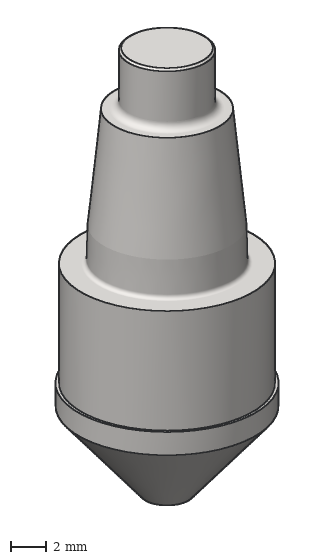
import cadquery as cq
import math

cone_top_z = 5.58
flange_top_z = 7.05
shoulder_z = 14.63
taper_bottom_z = 17.1
neck_top_z = 24.45
overall_height = 28.3

tip_flat_radius = 1.53
flange_radius = 12.7 / 2
barrel_radius = 12.3 / 2
neck_base_radius = 4.58
taper_base_radius = 4.53
neck_top_radius = 3.75
pin_radius = 5.5 / 2

shoulder_fillet = 0.28
pin_fillet = 0.5
pin_chamfer = 0.15

collar_bottom_z = shoulder_z + shoulder_fillet


def make_tip():
    """Conical point with a short cylindrical flange."""
    profile = (
        cq.Workplane("XZ")
        .polyline([
            (0, 0),
            (tip_flat_radius, 0),
            (flange_radius, cone_top_z),
            (flange_radius, flange_top_z),
            (0, flange_top_z),
        ])
        .close()
    )
    return profile.revolve(360, (0, 0), (0, 1))


def fillet_midpoint(wall_radius, floor_z, fillet_radius):
    """Middle of a concave quarter arc between a vertical wall and a flat floor."""
    offset = fillet_radius * (1 - math.sqrt(0.5))
    return wall_radius + offset, floor_z + offset


def make_body():
    """Barrel, tapered neck and end pin, revolved as one piece."""
    profile = (
        cq.Workplane("XZ")
        .moveTo(0, flange_top_z)
        .lineTo(barrel_radius, flange_top_z)
        .lineTo(barrel_radius, shoulder_z)
        .lineTo(neck_base_radius + shoulder_fillet, shoulder_z)
        .threePointArc(
            fillet_midpoint(neck_base_radius, shoulder_z, shoulder_fillet),
            (neck_base_radius, collar_bottom_z),
        )
        .lineTo(taper_base_radius, taper_bottom_z)
        .lineTo(neck_top_radius, neck_top_z)
        .lineTo(pin_radius + pin_fillet, neck_top_z)
        .threePointArc(
            fillet_midpoint(pin_radius, neck_top_z, pin_fillet),
            (pin_radius, neck_top_z + pin_fillet),
        )
        .lineTo(pin_radius, overall_height - pin_chamfer)
        .lineTo(pin_radius - pin_chamfer, overall_height)
        .lineTo(0, overall_height)
        .close()
    )
    return profile.revolve(360, (0, 0), (0, 1))


tip = make_tip()
body = make_body()

result = cq.Compound.makeCompound([tip.val(), body.val()])